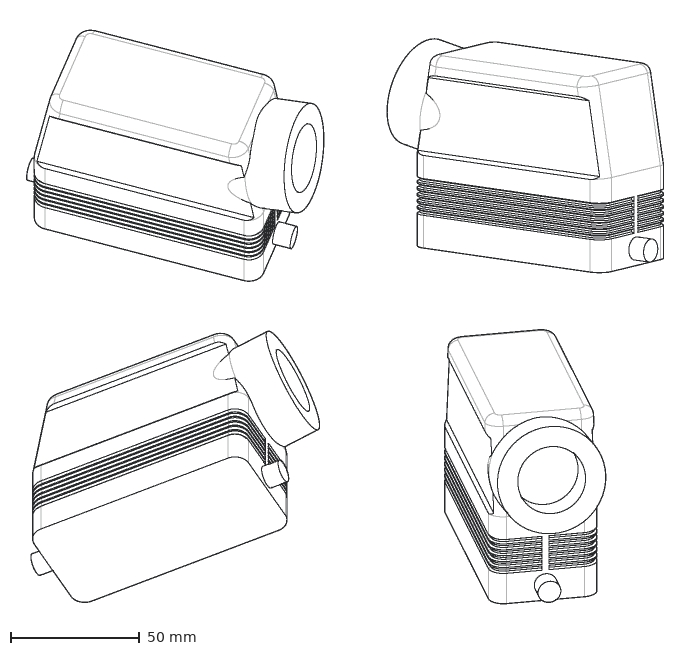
import cadquery as cq
import math

overall_length = 115.8
overall_height = 77.6

body_length = 93.5
body_width = 43.0
body_height = 76.1
slope_start_height = 37.2
slope_angle = math.radians(10)
corner_radius = 6.0
top_edge_radius = 3.8
slope_run = (body_height - slope_start_height) * math.tan(slope_angle)

recess_depth = 1.4
recess_bottom = 36.6
recess_top = 68.7

grip_bottom = 13.0
grip_top = 27.4
groove_count = 6
groove_mouth = 1.9
groove_floor = 0.8
groove_depth = 1.0
groove_pitch = (grip_top - grip_bottom - groove_mouth) / (groove_count - 1)
grip_bar_width = 2.8

pin_diameter = 9.0
pin_height = 6.8
pin_span = 107.9

entry_radius = body_width / 2
entry_bore_diameter = 26.9
entry_length = 16.3
entry_bore_depth = 14.4
entry_end_x = overall_length - pin_span / 2 - entry_radius * math.sin(slope_angle)
entry_end_height = overall_height - entry_radius * math.cos(slope_angle)

root_length = 9.8
root_middle_drop = 0.7
root_end_drop = 1.7


def make_body():
    """Solid hood with rounded upright corners and a rounded top edge."""
    half = body_length / 2
    outline = [
        (-half, 0),
        (half, 0),
        (half, slope_start_height),
        (half - slope_run, body_height),
        (slope_run - half, body_height),
        (-half, slope_start_height),
    ]
    body = cq.Workplane("XZ").polyline(outline).close().extrude(body_width / 2, both=True)
    body = body.edges("(<Y or >Y) and (not |X)").fillet(corner_radius)
    return body.faces(">Z").edges().fillet(top_edge_radius)


def make_recess(side):
    """Cutter for the long side at -Y (side = -1) or +Y (side = 1)."""
    outer = side * body_width / 2
    inner = outer - side * recess_depth
    section = [
        (outer, recess_bottom),
        (inner, recess_bottom + recess_depth),
        (inner, recess_top - recess_depth),
        (outer, recess_top),
    ]
    return cq.Workplane("YZ").polyline(section).close().extrude(body_length / 2, both=True)


def make_groove(height):
    """Tapered groove running around the base, centred at the given height."""
    base = cq.Workplane("XY", origin=(0, 0, height)).rect(body_length, body_width).extrude(groove_mouth)
    path = base.edges("|Z").fillet(corner_radius).faces("<Z").wires()
    outer = -body_width / 2
    inner = outer + groove_depth
    section = [
        (outer, height - groove_mouth / 2),
        (inner, height - groove_floor / 2),
        (inner, height + groove_floor / 2),
        (outer, height + groove_mouth / 2),
    ]
    return cq.Workplane("YZ").polyline(section).close().sweep(path)


def make_grip_bars():
    """Block at mid-width that keeps the bar on each end free of grooves."""
    bar_height = grip_top - grip_bottom
    bar_middle = (grip_top + grip_bottom) / 2
    return cq.Workplane("XY", origin=(0, 0, bar_middle)).box(body_length, grip_bar_width, bar_height)


def make_pins():
    """One round bar through the body, showing as a pin on each end."""
    axis_start = cq.Workplane("YZ", origin=(0, 0, pin_height))
    return axis_start.circle(pin_diameter / 2).extrude(pin_span / 2, both=True)


def make_entry_plane():
    """Plane on the outer end of the cable entry, facing out along its axis."""
    return cq.Plane(
        origin=(entry_end_x, 0, entry_end_height),
        xDir=(0, 1, 0),
        normal=(math.cos(slope_angle), 0, math.sin(slope_angle)),
    )


def make_entry():
    """Solid cable entry, revolved about its axis together with its domed root."""
    root_middle = -entry_length - root_length / 2
    root_end = -entry_length - root_length
    profile = (
        cq.Workplane(make_entry_plane())
        .transformed(rotate=(90, 0, 0))
        .lineTo(entry_radius, 0)
        .lineTo(entry_radius, -entry_length)
        .threePointArc(
            (entry_radius - root_middle_drop, root_middle),
            (entry_radius - root_end_drop, root_end),
        )
        .lineTo(0, root_end)
        .close()
    )
    return profile.revolve(360, (0, 0), (0, 1))


def make_entry_bore():
    """Blind bore from the outer end of the cable entry."""
    return cq.Workplane(make_entry_plane()).circle(entry_bore_diameter / 2).extrude(-entry_bore_depth)


result = make_body()
for side in (-1, 1):
    result = result.cut(make_recess(side))

grip_bars = make_grip_bars()
for index in range(groove_count):
    groove_height = grip_top - groove_mouth / 2 - index * groove_pitch
    result = result.cut(make_groove(groove_height).cut(grip_bars))

result = result.union(make_pins()).union(make_entry()).cut(make_entry_bore())